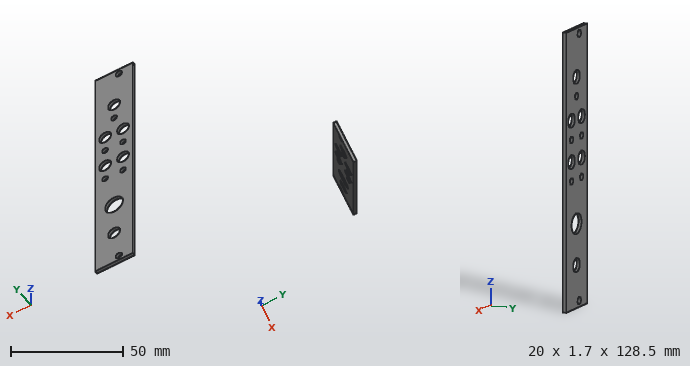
import cadquery as cq

panel_width = 20.0
panel_thickness = 1.7
panel_height = 128.5

mount_diameter = 3.2
jack_diameter = 6.3
light_diameter = 3.0
control_diameter = 9.4

mount_x = -2.6
mount_edge_distance = 3.0
row_pitch = 19.0
light_drop = 8.9
column_offset = 4.8
top_jack_z = 41.9
bottom_jack_z = -44.5


def cut_holes(body, diameter, centres):
    """Drill through holes along Y at the given (x, z) centres."""
    drills = (
        cq.Workplane("XZ")
        .pushPoints(centres)
        .circle(diameter / 2)
        .extrude(panel_thickness, both=True)
    )
    return body.cut(drills)


mount_z = panel_height / 2 - mount_edge_distance
mount_centres = [(mount_x, mount_z), (mount_x, -mount_z)]

jack_centres = [(0, top_jack_z)]
for row in (1, 2):
    for side in (-1, 1):
        jack_centres.append((side * column_offset, top_jack_z - row * row_pitch))
light_centres = [(x, z - light_drop) for x, z in jack_centres]

jack_centres.append((0, bottom_jack_z))
control_centres = [(0, bottom_jack_z + row_pitch)]

result = cq.Workplane("XY").box(panel_width, panel_thickness, panel_height)
result = cut_holes(result, mount_diameter, mount_centres)
result = cut_holes(result, jack_diameter, jack_centres)
result = cut_holes(result, light_diameter, light_centres)
result = cut_holes(result, control_diameter, control_centres)